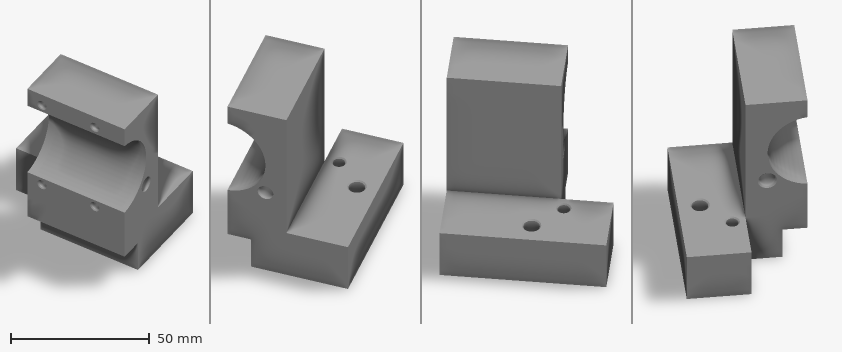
import cadquery as cq
import math

LENGTH = 60.5
DEPTH = 46.0
HEIGHT = 74.0

BASE_HEIGHT = 20.0
BASE_FRONT_Y = 22.5

UPRIGHT_LENGTH = 41.5
UPRIGHT_LEFT_X = LENGTH - UPRIGHT_LENGTH
STEP_DEPTH = 9.0
STEP_HEIGHT = 13.0

SADDLE_RADIUS = 16.0
SADDLE_AXIS_Y = -1.5
SADDLE_AXIS_Z = 50.0

BOLT_DIAMETER = 6.0
BOLT_X = 28.0
BOLT_Y = 38.0
DOWEL_DIAMETER = 4.5
DOWEL_X = 17.5
DOWEL_Y = 27.5

CROSS_DIAMETER = 6.0
CROSS_Y = 14.5
CROSS_Z = 37.0

THROUGH_CHAMFER = 0.5

DRILL_DIAMETER = 3.3
DRILL_MOUTH_DIAMETER = 4.0
DRILL_CHAMFER = (DRILL_MOUTH_DIAMETER - DRILL_DIAMETER) / 2
DRILL_DEPTH = 10.0
DRILL_TIP_ANGLE = 118.0
DRILL_FIRST_X = 25.25
DRILL_SPACING_X = 22.5
DRILL_OFFSET_Z = 19.0


def make_body():
    """Upright profile extruded along X, joined to the base block."""
    saddle_half_chord = math.sqrt(SADDLE_RADIUS**2 - SADDLE_AXIS_Y**2)
    upright = (
        cq.Workplane("YZ", origin=(UPRIGHT_LEFT_X, 0, 0))
        .moveTo(STEP_DEPTH, 0)
        .lineTo(BASE_FRONT_Y, 0)
        .lineTo(BASE_FRONT_Y, HEIGHT)
        .lineTo(0, HEIGHT)
        .lineTo(0, SADDLE_AXIS_Z + saddle_half_chord)
        .threePointArc(
            (SADDLE_AXIS_Y + SADDLE_RADIUS, SADDLE_AXIS_Z),
            (0, SADDLE_AXIS_Z - saddle_half_chord),
        )
        .lineTo(0, STEP_HEIGHT)
        .lineTo(STEP_DEPTH, STEP_HEIGHT)
        .close()
        .extrude(UPRIGHT_LENGTH)
    )
    base = cq.Workplane("XY").box(LENGTH, DEPTH - BASE_FRONT_Y, BASE_HEIGHT, centered=False)
    return upright.union(base.translate((0, BASE_FRONT_Y, 0)))


def hole_cutter(mouth, direction, diameter, depth, chamfer, tip_length=0):
    """Hole tool with a 45 degree mouth chamfer and an optional conical tip beyond its depth."""
    radius = diameter / 2
    cutter = (
        cq.Workplane("XZ")
        .lineTo(radius + chamfer, 0)
        .lineTo(radius, chamfer)
        .lineTo(radius, depth)
        .lineTo(0, depth + tip_length)
        .close()
        .revolve(360, (0, 0), (0, 1))
    )
    return cutter.val().moved(cq.Location(cq.Plane(origin=mouth, normal=direction)))


def cut_base_holes(body):
    for x, y, diameter in (
        (BOLT_X, BOLT_Y, BOLT_DIAMETER),
        (DOWEL_X, DOWEL_Y, DOWEL_DIAMETER),
    ):
        mouth = (x, y, BASE_HEIGHT)
        body = body.cut(hole_cutter(mouth, (0, 0, -1), diameter, BASE_HEIGHT, THROUGH_CHAMFER))
    return body


def cut_cross_hole(body):
    mouth = (UPRIGHT_LEFT_X, CROSS_Y, CROSS_Z)
    return body.cut(hole_cutter(mouth, (1, 0, 0), CROSS_DIAMETER, UPRIGHT_LENGTH, THROUGH_CHAMFER))


def cut_front_holes(body):
    tip_length = DRILL_DIAMETER / 2 / math.tan(math.radians(DRILL_TIP_ANGLE / 2))
    for x in (DRILL_FIRST_X, DRILL_FIRST_X + DRILL_SPACING_X):
        for z in (SADDLE_AXIS_Z - DRILL_OFFSET_Z, SADDLE_AXIS_Z + DRILL_OFFSET_Z):
            mouth = (x, 0, z)
            cutter = hole_cutter(mouth, (0, 1, 0), DRILL_DIAMETER, DRILL_DEPTH, DRILL_CHAMFER, tip_length)
            body = body.cut(cutter)
    return body


result = make_body()
result = cut_base_holes(result)
result = cut_cross_hole(result)
result = cut_front_holes(result)